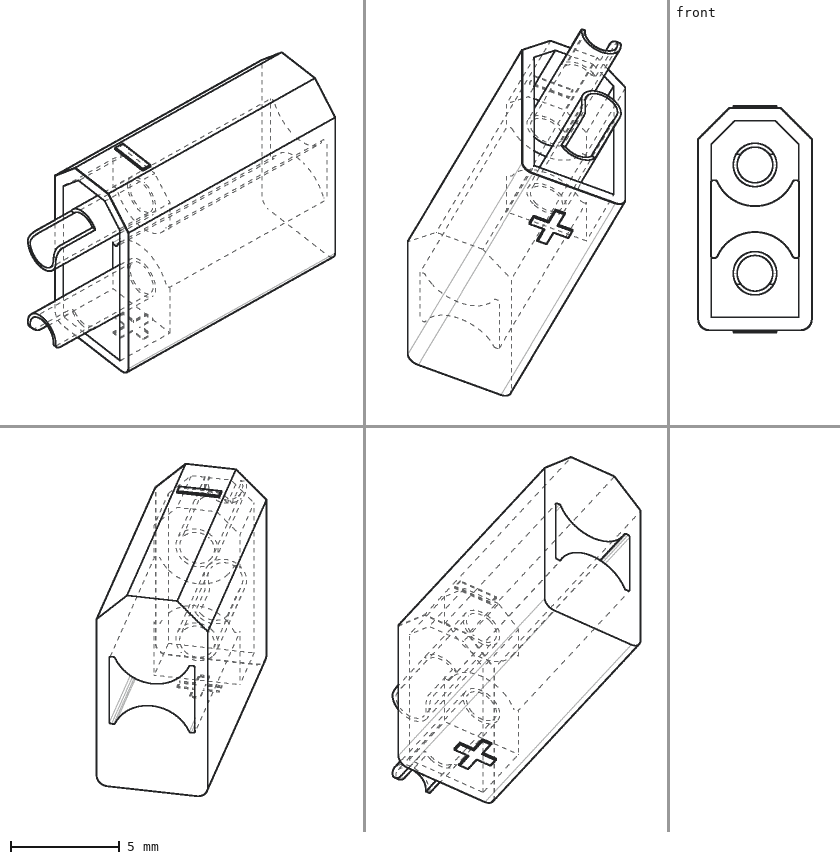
import cadquery as cq

overall_length = 15.5
overall_height = 10.45
housing_width = 5.25
mark_height = 0.1
pin_projection = 3.0
housing_length = overall_length - pin_projection
housing_height = overall_height - 2 * mark_height

top_chamfer = 1.44
bottom_fillet = 0.53
front_edge_break = 0.02
wall = 0.6
cavity_width = housing_width - 2 * wall
cavity_height = housing_height - 2 * wall
cavity_chamfer = 1.08

insulator_recess = 3.0
insulator_length = housing_length - insulator_recess
pin_offset = 2.5
lobe_radius = 1.9
ledge_fillet = 0.1
ledge_offset = 0.71

cup_diameter = 2.0
bore_diameter = 1.65
slot_start = 0.5
slot_offset = 0.5
slot_corner_radius = 0.5

mark_length = 2.0
mark_width = 0.5
mark_edge_break = 0.03
mark_setback = 2.5


def chamfered_block(width, height, chamfer, length):
    """Block running back from y = 0 with its two top long edges chamfered."""
    block = cq.Workplane("XY").box(width, length, height).translate((0, length / 2, 0))
    return block.edges("|Y and >Z").chamfer(chamfer)


def make_housing():
    outer = chamfered_block(housing_width, housing_height, top_chamfer, housing_length)
    outer = outer.edges("|Y and <Z").fillet(bottom_fillet)
    outer = outer.faces("<Y").chamfer(front_edge_break)
    return outer.cut(make_cavity(housing_length))


def make_cavity(length):
    return chamfered_block(cavity_width, cavity_height, cavity_chamfer, length)


def make_insulator():
    """Infill of the cavity, split by a gap that the two round lobes reach into."""
    infill = make_cavity(insulator_length)
    gap_height = 2 * (pin_offset - ledge_offset)
    gap = cq.Workplane("XY").box(cavity_width, insulator_length, gap_height)
    gap = gap.translate((0, insulator_length / 2, 0))
    for z in (-pin_offset, pin_offset):
        gap = gap.cut(rod(lobe_radius, z, 0, insulator_length))
    gap = gap.edges("|Y").fillet(ledge_fillet)
    return infill.cut(gap).translate((0, insulator_recess, 0))


def rod(radius, z, y_start, y_end):
    """Round bar along Y, centred at height z."""
    plane = cq.Workplane("XZ", origin=(0, y_end, z))
    return plane.circle(radius).extrude(y_end - y_start)


def make_solder_cup(side):
    """Bored pin with its outward side cut open; side is +1 for the upper pin, -1 for the lower."""
    z = side * pin_offset
    cup = rod(cup_diameter / 2, z, -pin_projection, insulator_recess)
    cup = cup.cut(rod(bore_diameter / 2, z, -pin_projection, insulator_recess))
    slot_edge = z + side * slot_offset
    slot_top = z + side * cup_diameter
    tip = -pin_projection
    slot = (
        cq.Workplane("YZ")
        .moveTo(-slot_start, slot_top)
        .lineTo(-slot_start, slot_edge)
        .lineTo(tip + slot_corner_radius, slot_edge)
        .radiusArc((tip, slot_edge - side * slot_corner_radius), -side * slot_corner_radius)
        .lineTo(tip, slot_top)
        .close()
        .extrude(cup_diameter / 2, both=True)
    )
    return cup.cut(slot)


def make_mark_bar(length_x, length_y):
    """Bar at the mark position; its inner half sinks into the wall when placed on the housing."""
    return cq.Workplane("XY").box(length_x, length_y, 2 * mark_height).translate((0, mark_setback, 0))


def make_minus_mark():
    """Minus sign raised from the top face."""
    bar = make_mark_bar(mark_length, mark_width)
    bar = bar.faces(">Z").chamfer(mark_edge_break)
    return bar.translate((0, 0, housing_height / 2))


def make_plus_mark():
    """Plus sign raised from the bottom face."""
    cross = make_mark_bar(mark_length, mark_width).union(make_mark_bar(mark_width, mark_length)).clean()
    cross = cross.faces("<Z").chamfer(mark_edge_break)
    return cross.translate((0, 0, -housing_height / 2))


result = make_housing().union(make_insulator())
for side in (1, -1):
    result = result.union(make_solder_cup(side))
result = result.union(make_minus_mark())
result = result.union(make_plus_mark())